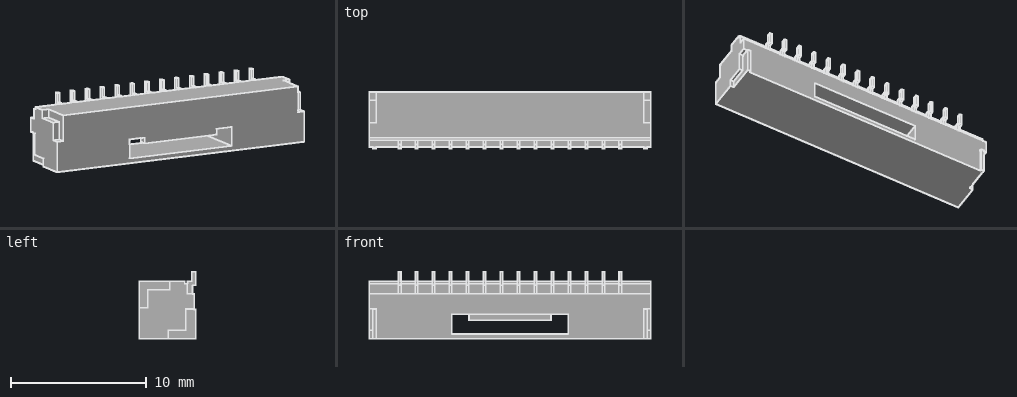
import cadquery as cq

length = 20.75
back_y = 4.2
front_y = 0.12
body_height = 4.25

step_y = 0.62
step_z = 3.32
ledge_width = 0.19
ledge_drop = 0.19

notch_depth = 0.52
upper_notch_front_y = 1.93
upper_notch_inner_y = 3.57
upper_notch_inner_z = 3.63
upper_notch_bottom_z = 2.3
clip_back_y = 2.05
clip_inner_y = 0.75
clip_inner_z = 0.62
clip_top_z = 2.18
clip_clearance = 0.06
clip_thickness = 0.25

window_width = 8.57
window_bottom = 0.37
window_top = 1.8
tab_width = 6.05
tab_drop = 0.44
tab_thickness = 0.62

terminal_count = 14
terminal_row_length = 16.25
terminal_width = 0.19
terminal_top = 4.95
terminal_tip_back_y = 0.31
terminal_foot_front_y = 0.25
terminal_tip_bottom = 3.95


def extrude_along_x(points, x_start, width):
    """Extrude a closed (y, z) outline along +X from x_start."""
    return cq.Workplane("YZ").workplane(offset=x_start).polyline(points).close().extrude(width)


def centred_box(width, y_start, y_end, z_start, z_end):
    """Box centred in X between the given Y and Z limits."""
    return cq.Workplane("XY").box(
        width, y_end - y_start, z_end - z_start, centered=(True, False, False)
    ).translate((0, y_start, z_start))


def make_housing():
    ledge_y = step_y + ledge_width
    ledge_z = body_height - ledge_drop
    outline = [
        (front_y, 0),
        (back_y, 0),
        (back_y, body_height),
        (ledge_y, body_height),
        (ledge_y, ledge_z),
        (step_y, ledge_z),
        (step_y, step_z),
        (front_y, step_z),
    ]
    return extrude_along_x(outline, -length / 2, length)


def upper_notch():
    outline = [
        (back_y, body_height),
        (upper_notch_front_y, body_height),
        (upper_notch_front_y, upper_notch_inner_z),
        (upper_notch_inner_y, upper_notch_inner_z),
        (upper_notch_inner_y, upper_notch_bottom_z),
        (back_y, upper_notch_bottom_z),
    ]
    return extrude_along_x(outline, -length / 2, notch_depth)


def clip_outline(top_z):
    return [
        (0, 0),
        (clip_back_y, 0),
        (clip_back_y, clip_inner_z),
        (clip_inner_y, clip_inner_z),
        (clip_inner_y, top_z),
        (0, top_z),
    ]


def lower_notch():
    return extrude_along_x(clip_outline(clip_top_z + clip_clearance), -length / 2, notch_depth)


def clip():
    """Retaining clip on the floor of the lower notch, recessed from the end face."""
    x_start = -length / 2 + notch_depth - clip_thickness
    return extrude_along_x(clip_outline(clip_top_z), x_start, clip_thickness)


def terminal(x_centre):
    outline = [
        (step_y, step_z),
        (terminal_foot_front_y, step_z),
        (terminal_foot_front_y, terminal_tip_bottom),
        (0, terminal_tip_bottom),
        (0, terminal_top),
        (terminal_tip_back_y, terminal_top),
        (terminal_tip_back_y, body_height),
        (step_y, body_height),
    ]
    return extrude_along_x(outline, x_centre - terminal_width / 2, terminal_width)


result = make_housing()

result = result.cut(centred_box(window_width, front_y, back_y, window_bottom, window_top))
result = result.union(
    centred_box(tab_width, back_y - tab_thickness, back_y, window_top - tab_drop, window_top)
)

for notch in (upper_notch(), lower_notch()):
    result = result.cut(notch).cut(notch.mirror("YZ"))
result = result.union(clip()).union(clip().mirror("YZ"))

terminal_pitch = terminal_row_length / (terminal_count - 1)
for index in range(terminal_count):
    result = result.union(terminal(index * terminal_pitch - terminal_row_length / 2))